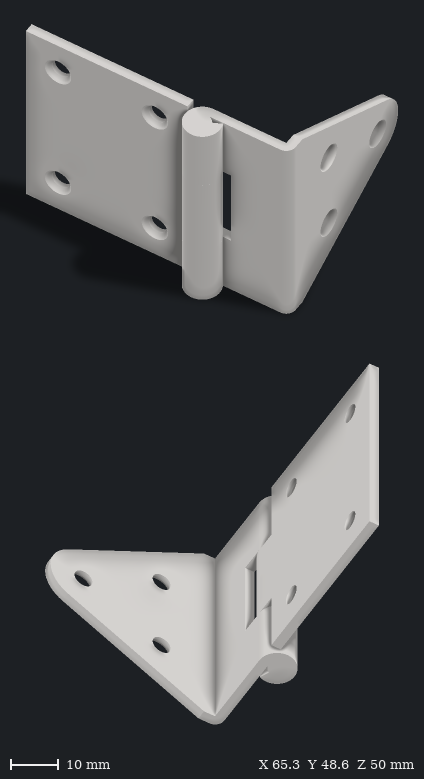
import cadquery as cq
import math

overall_x = 65.3
overall_y = 48.6
height = 50.0
thickness = 2.3
pin_radius = 2.0
barrel_radius = pin_radius + thickness
curl_end_angle = 25.0

hole_diameter = 4.4
countersink_diameter = 6.5
countersink_angle = 90.0

flat_leaf_reach = 45.0
flat_leaf_edge = 4.95
hole_margin = 7.95
hole_pitch_x = 23.95
hole_pitch_z = 33.95

bent_leaf_reach = overall_x - flat_leaf_reach
flange_top = overall_y - barrel_radius
bend_radius = thickness
flange_tip_radius = 7.95
flange_taper_start = 7.0
flange_hole_y = 17.3
flange_hole_pitch_z = 20.0

knuckle_length = 20.0
window_edge = 5.75


def block(x_min, x_max, y_min, y_max, length):
    """Box between the given X and Y limits, centred on Z = 0."""
    return (
        cq.Workplane("XY")
        .box(x_max - x_min, y_max - y_min, length)
        .translate(((x_min + x_max) / 2, (y_min + y_max) / 2, 0))
    )


def polar(radius, angle):
    """Point around the pin axis, with the angle in degrees from +X."""
    return (radius * math.cos(math.radians(angle)), radius * math.sin(math.radians(angle)))


def curled_strip(reach, length):
    """Flat strip towards +X whose near end is rolled around the pin."""
    curl_middle_angle = (90 + 360 + curl_end_angle) / 2
    return (
        cq.Workplane("XY")
        .workplane(offset=-length / 2)
        .moveTo(reach, pin_radius)
        .lineTo(reach, barrel_radius)
        .lineTo(0, barrel_radius)
        .threePointArc(polar(barrel_radius, curl_middle_angle), polar(barrel_radius, curl_end_angle))
        .lineTo(*polar(pin_radius, curl_end_angle))
        .threePointArc(polar(pin_radius, curl_middle_angle), (0, pin_radius))
        .close()
        .extrude(length)
    )


def make_flat_leaf():
    """Rectangular leaf with the middle knuckle and four countersunk holes."""
    tongue = curled_strip(flat_leaf_reach, knuckle_length).mirror("YZ")
    plate = block(-flat_leaf_reach, -flat_leaf_edge, pin_radius, barrel_radius, height)
    hole_centre_x = -flat_leaf_reach + hole_margin + hole_pitch_x / 2
    return (
        plate.union(tongue)
        .copyWorkplane(cq.Workplane("XZ", origin=(hole_centre_x, pin_radius, 0)))
        .rarray(hole_pitch_x, hole_pitch_z, 2, 2)
        .cskHole(hole_diameter, countersink_diameter, countersink_angle)
    )


def make_flange():
    """Upturned plate, tapered to a rounded tip, with holes countersunk from +X."""
    tip_y = flange_top - flange_tip_radius
    corner_distance = math.hypot(tip_y - flange_taper_start, height / 2)
    taper_angle = math.atan2(height / 2, tip_y - flange_taper_start) - math.asin(
        flange_tip_radius / corner_distance
    )
    tangent_y = tip_y + flange_tip_radius * math.sin(taper_angle)
    tangent_z = flange_tip_radius * math.cos(taper_angle)
    inner_x = bent_leaf_reach - thickness
    plate = (
        cq.Workplane("YZ", origin=(inner_x, 0, 0))
        .moveTo(pin_radius, -height / 2)
        .lineTo(flange_taper_start, -height / 2)
        .lineTo(tangent_y, -tangent_z)
        .threePointArc((flange_top, 0), (tangent_y, tangent_z))
        .lineTo(flange_taper_start, height / 2)
        .lineTo(pin_radius, height / 2)
        .close()
        .extrude(thickness)
    )
    hole_centres = [
        (tip_y, 0),
        (flange_hole_y, flange_hole_pitch_z / 2),
        (flange_hole_y, -flange_hole_pitch_z / 2),
    ]
    return (
        plate.copyWorkplane(cq.Workplane("YZ", origin=(bent_leaf_reach, 0, 0)))
        .pushPoints(hole_centres)
        .cskHole(hole_diameter, countersink_diameter, countersink_angle)
    )


def make_bent_leaf():
    """Leaf with two end knuckles, a window for the other leaf and a flange."""
    window = block(-barrel_radius, window_edge, -barrel_radius, barrel_radius, knuckle_length)
    strip = curled_strip(bent_leaf_reach - thickness, height).cut(window)
    bend_edge = cq.selectors.NearestToPointSelector((bent_leaf_reach, pin_radius, 0))
    return strip.union(make_flange()).edges(bend_edge).fillet(bend_radius)


def make_pin():
    """Plain pin, flush with the ends of the barrel."""
    return cq.Workplane("XY").circle(pin_radius).extrude(height / 2, both=True)


flat_leaf = make_flat_leaf()
bent_leaf = make_bent_leaf()
pin = make_pin()

result = cq.Compound.makeCompound([
    *flat_leaf.solids().vals(),
    *bent_leaf.solids().vals(),
    pin.solids().val(),
])